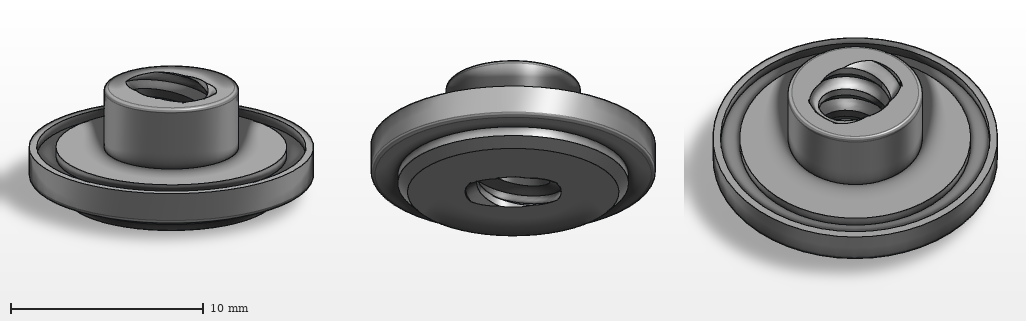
import cadquery as cq
import math

flange_diameter = 14.8
total_height = 6.0
spigot_diameter = 12.0
spigot_height = 1.0
spigot_chamfer = 0.5
flange_top = 2.7
boss_diameter = 7.0
edge_radius = 0.2

groove_outer_diameter = 14.0
groove_inner_diameter = spigot_diameter
groove_depth = 0.5

thread_starts = 2
thread_lead = 3.1
bore_diameter = 3.8
thread_major_radius = 2.5
root_half_angle = 26.0
section_inner_radius = 1.78
inner_half_angle = 73.0


def disc(diameter, bottom, top):
    return cq.Workplane("XY").workplane(offset=bottom).circle(diameter / 2).extrude(top - bottom)


def polar(radius, degrees):
    angle = math.radians(degrees)
    return radius * math.cos(angle), radius * math.sin(angle)


def make_body():
    spigot = disc(spigot_diameter, 0, spigot_height).faces("<Z").edges().chamfer(spigot_chamfer)
    flange = disc(flange_diameter, spigot_height, flange_top).faces("<Z").edges().fillet(edge_radius)
    boss = disc(boss_diameter, flange_top, total_height).faces(">Z").edges().fillet(edge_radius)
    return spigot.union(flange).union(boss)


def make_groove():
    groove_bottom = flange_top - groove_depth
    outer = disc(groove_outer_diameter, groove_bottom, flange_top)
    return outer.cut(disc(groove_inner_diameter, groove_bottom, flange_top))


def make_thread():
    """Twist the horizontal section of the thread along the full height."""
    start_spacing = 360 / thread_starts
    flank_mid_radius = (section_inner_radius + thread_major_radius) / 2
    flank_mid_angle = (root_half_angle + inner_half_angle) / 2
    twist = 360 * total_height / thread_lead

    first_start = -twist
    section = cq.Workplane("XY").moveTo(*polar(section_inner_radius, first_start - inner_half_angle))
    for start in range(thread_starts):
        center = first_start + start * start_spacing
        section = (
            section
            .threePointArc(
                polar(flank_mid_radius, center - flank_mid_angle),
                polar(thread_major_radius, center - root_half_angle),
            )
            .threePointArc(
                polar(thread_major_radius, center),
                polar(thread_major_radius, center + root_half_angle),
            )
            .threePointArc(
                polar(flank_mid_radius, center + flank_mid_angle),
                polar(section_inner_radius, center + inner_half_angle),
            )
            .threePointArc(
                polar(section_inner_radius, center + start_spacing / 2),
                polar(section_inner_radius, center + start_spacing - inner_half_angle),
            )
        )
    return section.close().twistExtrude(total_height, twist)


bore = disc(bore_diameter, 0, total_height)
result = make_body().cut(make_groove()).cut(bore).cut(make_thread())